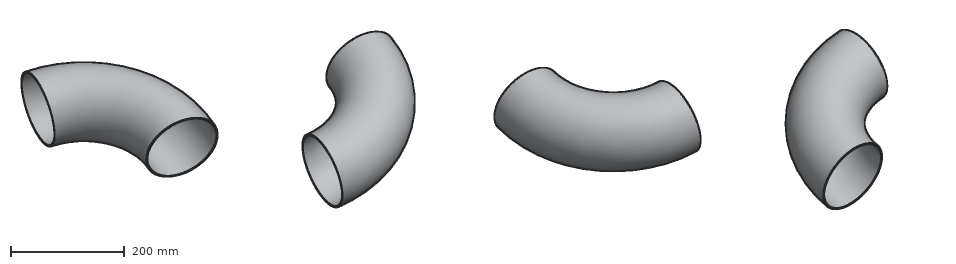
import cadquery as cq

overall_length = 260.4
outer_diameter = 139.8
inner_diameter = 133.8
bend_angle = 90.0

bend_radius = overall_length - outer_diameter / 2

pipe_section = (
    cq.Workplane("XZ")
    .center(-bend_radius, 0)
    .circle(outer_diameter / 2)
    .circle(inner_diameter / 2)
)

result = pipe_section.revolve(bend_angle, (bend_radius, 0), (bend_radius, -1))